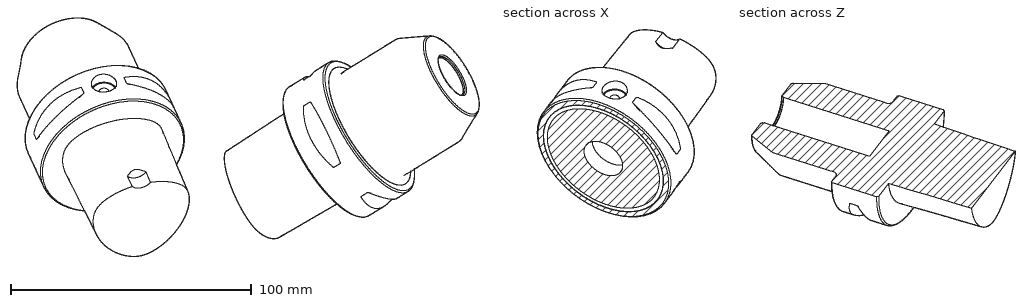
import cadquery as cq
import math

SHANK_LENGTH = 38.0
BODY_LENGTH = 65.0
FRONT_X = -BODY_LENGTH

NECK_DIAMETER = 50.0
NECK_RELIEF_DIAMETER = 49.8
NOSE_LENGTH = 13.0
NOSE_DIAMETER = 38.4
NOSE_CHAMFER = 0.6
NOSE_EDGE_FILLET = 1.0
EDGE_SEARCH = 0.1

FLANGE_DIAMETER = 63.0
FLANGE_WIDTH = 22.0
FLANGE_CHAMFER = 0.65
NECK_FILLET = 2.0
NECK_RELIEF_LENGTH = 0.9
NECK_STEP_LENGTH = 0.4
FACE_RELIEF_DIAMETER = 56.4
FACE_RELIEF_DEPTH = 0.1

BORE_DIAMETER = 18.0
BORE_DEPTH = 50.0
MOUTH_DIAMETER = 18.5
MOUTH_DEPTH = 1.2
MOUTH_CHAMFER = 0.5

SHANK_DIAMETER = 44.0
LOBE_HEIGHT = 1.4
SHANK_TAPER = 1 / 20
SHANK_CURVE_POINTS = 48

NOTCH_RADIUS = 5.0
NOTCH_LENGTH = 6.3
NOTCH_AXIS_Z = 22.45
NOTCH_POINT_ANGLE = 90.0

GROOVE_X = -12.0
GROOVE_ANGLES = (45, 135, 225, 315)
GROOVE_FLOOR_RADIUS = 27.86
GROOVE_FLOOR_WIDTH = 3.66
GROOVE_WALL_ANGLE = 30.0
GROOVE_CORNER_RADIUS = 0.6

POCKET_DIAMETER = 10.5
POCKET_DEPTH = 5.0
POCKET_FLOOR_DIAMETER = 10.0
POCKET_PILOT_DIAMETER = 4.0
POCKET_PILOT_POINT_ANGLE = 120.0


def cone_depth(radius, point_angle):
    """Height of a cone with the given base radius and full point angle."""
    return radius / math.tan(math.radians(point_angle / 2))


def revolve_about_x(profile):
    return profile.close().revolve(360, (0, 0, 0), (1, 0, 0))


def make_body():
    """Nose, neck and flange as one turned profile of (X, radius)."""
    nose_end_x = FRONT_X + NOSE_LENGTH
    nose_radius = NOSE_DIAMETER / 2
    neck_radius = NECK_DIAMETER / 2
    relief_radius = NECK_RELIEF_DIAMETER / 2
    flange_radius = FLANGE_DIAMETER / 2
    face_relief_radius = FACE_RELIEF_DIAMETER / 2
    face_x = -FLANGE_WIDTH
    relief_x = face_x + FACE_RELIEF_DEPTH
    fillet_x = relief_x - NECK_FILLET
    arc_offset = NECK_FILLET * math.sqrt(0.5)
    arc_middle = (fillet_x + arc_offset, relief_radius + NECK_FILLET - arc_offset)
    profile = (
        cq.Workplane("XY")
        .moveTo(FRONT_X, 0)
        .lineTo(FRONT_X, nose_radius - NOSE_CHAMFER)
        .lineTo(FRONT_X + NOSE_CHAMFER, nose_radius)
        .lineTo(nose_end_x, neck_radius)
        .lineTo(fillet_x - NECK_RELIEF_LENGTH - NECK_STEP_LENGTH, neck_radius)
        .lineTo(fillet_x - NECK_RELIEF_LENGTH, relief_radius)
        .lineTo(fillet_x, relief_radius)
        .threePointArc(arc_middle, (relief_x, relief_radius + NECK_FILLET))
        .lineTo(relief_x, face_relief_radius)
        .lineTo(face_x, face_relief_radius)
        .lineTo(face_x, flange_radius - FLANGE_CHAMFER)
        .lineTo(face_x + FLANGE_CHAMFER, flange_radius)
        .lineTo(-FLANGE_CHAMFER, flange_radius)
        .lineTo(0, flange_radius - FLANGE_CHAMFER)
        .lineTo(0, 0)
    )
    nose_edge = cq.selectors.BoxSelector(
        (nose_end_x - EDGE_SEARCH, -neck_radius - EDGE_SEARCH, -neck_radius - EDGE_SEARCH),
        (nose_end_x + EDGE_SEARCH, neck_radius + EDGE_SEARCH, neck_radius + EDGE_SEARCH),
        boundingbox=True,
    )
    return revolve_about_x(profile).edges(nose_edge).fillet(NOSE_EDGE_FILLET)


def shank_outline_point(mean_radius, angle):
    """Point (Y, Z) on the three-lobed outline, with one lobe pointing to -Z.

    The outline is the envelope of lines at a distance of
    mean_radius + LOBE_HEIGHT * cos(3 * angle) from the axis.
    """
    reach = mean_radius + LOBE_HEIGHT * math.cos(3 * angle)
    slide = -3 * LOBE_HEIGHT * math.sin(3 * angle)
    y = reach * math.sin(angle) + slide * math.cos(angle)
    z = -reach * math.cos(angle) + slide * math.sin(angle)
    return y, z


def shank_outline(workplane, mean_radius):
    step = 2 * math.pi / SHANK_CURVE_POINTS
    points = [shank_outline_point(mean_radius, i * step) for i in range(SHANK_CURVE_POINTS)]
    return workplane.spline(points, periodic=True).close()


def make_shank():
    base_radius = SHANK_DIAMETER / 2
    end_radius = base_radius - SHANK_LENGTH * SHANK_TAPER / 2
    base = shank_outline(cq.Workplane("YZ"), base_radius)
    return shank_outline(base.workplane(offset=SHANK_LENGTH), end_radius).loft(ruled=True)


def make_bore():
    bore_radius = BORE_DIAMETER / 2
    mouth_radius = MOUTH_DIAMETER / 2
    profile = (
        cq.Workplane("XY")
        .moveTo(FRONT_X, 0)
        .lineTo(FRONT_X, mouth_radius + MOUTH_CHAMFER)
        .lineTo(FRONT_X + MOUTH_CHAMFER, mouth_radius)
        .lineTo(FRONT_X + MOUTH_DEPTH, mouth_radius)
        .lineTo(FRONT_X + MOUTH_DEPTH, bore_radius)
        .lineTo(FRONT_X + BORE_DEPTH, bore_radius)
        .lineTo(FRONT_X + BORE_DEPTH, 0)
    )
    return revolve_about_x(profile)


def make_notch():
    start_x = SHANK_LENGTH - NOTCH_LENGTH
    profile = (
        cq.Workplane("XY")
        .moveTo(start_x - cone_depth(NOTCH_RADIUS, NOTCH_POINT_ANGLE), 0)
        .lineTo(start_x, NOTCH_RADIUS)
        .lineTo(SHANK_LENGTH, NOTCH_RADIUS)
        .lineTo(SHANK_LENGTH, 0)
    )
    return revolve_about_x(profile).translate((0, 0, NOTCH_AXIS_Z))


def make_groove(angle):
    """Straight V-sided groove with a flat floor, cut across the flange rim."""
    rim_radius = FLANGE_DIAMETER / 2
    floor_half = GROOVE_FLOOR_WIDTH / 2
    flare = (rim_radius - GROOVE_FLOOR_RADIUS) * math.tan(math.radians(GROOVE_WALL_ANGLE))
    top_half = floor_half + flare
    groove = (
        cq.Workplane("XZ")
        .moveTo(GROOVE_X - floor_half, GROOVE_FLOOR_RADIUS)
        .lineTo(GROOVE_X + floor_half, GROOVE_FLOOR_RADIUS)
        .lineTo(GROOVE_X + top_half, rim_radius)
        .lineTo(GROOVE_X - top_half, rim_radius)
        .close()
        .extrude(rim_radius, both=True)
        .faces("<Z")
        .edges("|Y")
        .fillet(GROOVE_CORNER_RADIUS)
    )
    return groove.rotate((0, 0, 0), (1, 0, 0), angle)


def make_pocket():
    """Round pocket on top of the flange, with a bevelled floor edge and a drilled centre mark."""
    pocket_radius = POCKET_DIAMETER / 2
    floor_radius = POCKET_FLOOR_DIAMETER / 2
    pilot_radius = POCKET_PILOT_DIAMETER / 2
    top_z = FLANGE_DIAMETER / 2
    floor_z = top_z - POCKET_DEPTH
    profile = (
        cq.Workplane("XZ")
        .moveTo(0, floor_z - cone_depth(pilot_radius, POCKET_PILOT_POINT_ANGLE))
        .lineTo(pilot_radius, floor_z)
        .lineTo(floor_radius, floor_z)
        .lineTo(pocket_radius, floor_z + pocket_radius - floor_radius)
        .lineTo(pocket_radius, top_z)
        .lineTo(0, top_z)
        .close()
    )
    return profile.revolve(360, (0, 0, 0), (0, 1, 0)).translate((GROOVE_X, 0, 0))


result = make_body().union(make_shank()).cut(make_bore()).cut(make_notch())
for groove_angle in GROOVE_ANGLES:
    result = result.cut(make_groove(groove_angle))
result = result.cut(make_pocket())